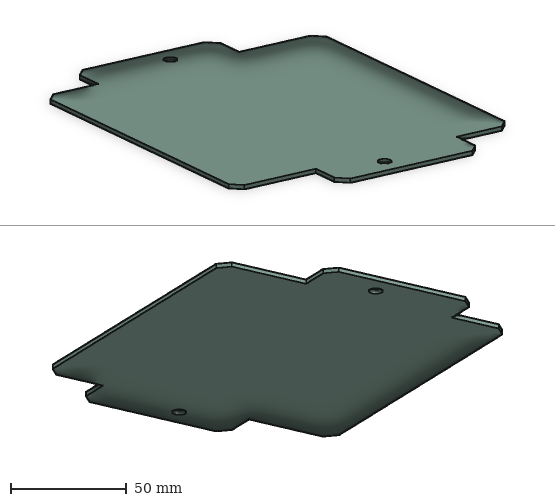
import cadquery as cq

overall_length = 183.0
body_side = 145.0
thickness = 2.0
tab_width = 74.0
tab_offset = 7.0
corner_chamfer = 5.0
hole_diameter = 6.0
hole_spacing = 162.3

tab_length = (overall_length - body_side) / 2


def chamfered_plate(length, width, edges):
    """Flat plate centred on the origin, with the selected corners chamfered."""
    plate = cq.Workplane("XY").box(length, width, thickness)
    return plate.edges(edges).chamfer(corner_chamfer)


def side_tab(side):
    """Tab on the +X (side = 1) or -X (side = -1) edge, reaching in to the body centre."""
    outer_edges = "|Z and >X" if side > 0 else "|Z and <X"
    tab = chamfered_plate(body_side / 2 + tab_length, tab_width, outer_edges)
    return tab.translate((side * overall_length / 4, side * tab_offset, 0))


result = chamfered_plate(body_side, body_side, "|Z")
for side in (-1, 1):
    result = result.union(side_tab(side))

holes = (
    cq.Workplane("XY")
    .pushPoints([(-hole_spacing / 2, 0), (hole_spacing / 2, 0)])
    .circle(hole_diameter / 2)
    .extrude(thickness, both=True)
)
result = result.cut(holes).clean()